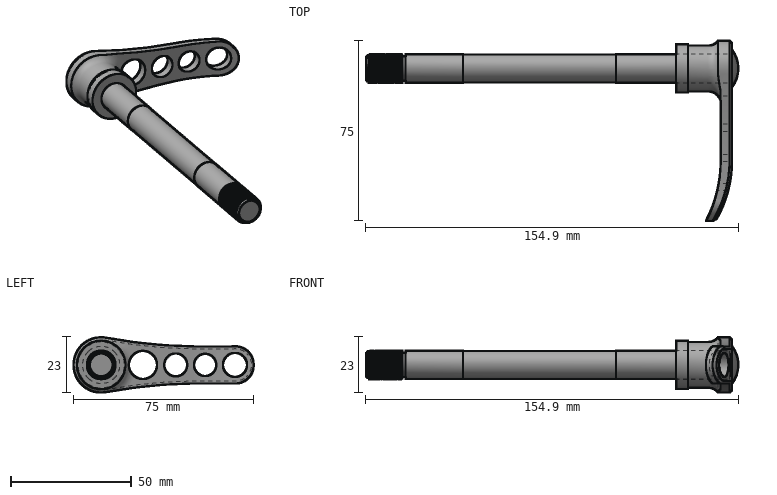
import cadquery as cq
import math


total_length = 154.9
thread_end_x = 15.3
shank_start_x = 16.5
waist_start_x = 40.4
waist_end_x = 103.9
collar_start_x = 129.0
hub_start_x = 134.0
flare_start_x = 142.5
arm_outer_x = 152.2
flare_radius = 5.0
arm_inner_x = flare_start_x + flare_radius

shank_radius = 12.0 / 2
waist_radius = 11.8 / 2
neck_radius = 10.2 / 2
dome_radius = 15.5 / 2
tip_chamfer = 1.2
thread_pitch = 1.0
thread_depth = 0.6
crest_width = thread_pitch / 8
root_width = thread_pitch / 4

collar_radius = 20.1 / 2
hub_radius = 19.2 / 2

lever_length = 75.0
eye_radius = 23.0 / 2
arm_half_width = 15.5 / 2
flank_end_y = -40.5
tip_y = eye_radius - lever_length
tip_centre_y = -55.6
tip_radius = tip_centre_y - tip_y
bend_start_y = -38.4
outer_bend_radius = 48.0
inner_bend_radius = 54.2
edge_chamfer = 1.1
hole_positions_and_diameters = [(-17.3, 11.6), (-31.0, 9.5), (-43.2, 9.1), (tip_centre_y, 9.9)]

trim_margin = 1.5


def revolve_about_x(profile):
    """Turn an (X, radius) profile drawn in the XZ plane about the X axis."""
    return profile.revolve(360, (0, 0, 0), (1, 0, 0))


def cylinder_along_x(start_x, end_x, radius, y=0):
    return cq.Workplane("YZ", origin=(start_x, y, 0)).circle(radius).extrude(end_x - start_x)


def make_thread_groove():
    """Helical V groove that starts beyond the tip and runs out into the neck."""
    start_x = -thread_pitch
    end_x = (thread_end_x + shank_start_x - root_width) / 2
    clearance = 0.2
    root_radius = shank_radius - thread_depth
    open_half = (thread_pitch - crest_width) / 2
    flank_slope = (open_half - root_width / 2) / thread_depth
    outer_half = open_half + flank_slope * clearance
    helix = cq.Wire.makeHelix(thread_pitch, end_x - start_x, shank_radius)
    groove = (
        cq.Workplane("XZ")
        .moveTo(root_radius, -root_width / 2)
        .lineTo(shank_radius + clearance, -outer_half)
        .lineTo(shank_radius + clearance, outer_half)
        .lineTo(root_radius, root_width / 2)
        .close()
        .sweep(cq.Workplane(obj=helix), isFrenet=True)
    )
    return groove.rotate((0, 0, 0), (0, 1, 0), 90).translate((start_x, 0, 0))


def make_threaded_tip():
    """Thread with a chamfered end and a relief neck, cut in a blank that is then trimmed."""
    blank = cylinder_along_x(-trim_margin, shank_start_x + trim_margin, shank_radius)
    envelope = revolve_about_x(
        cq.Workplane("XZ")
        .lineTo(0, shank_radius - tip_chamfer)
        .lineTo(tip_chamfer + trim_margin, shank_radius + trim_margin)
        .lineTo(thread_end_x, shank_radius + trim_margin)
        .lineTo(thread_end_x, neck_radius)
        .lineTo(shank_start_x, neck_radius)
        .lineTo(shank_start_x, 0)
        .close()
    )
    return blank.cut(make_thread_groove()).intersect(envelope)


def make_axle():
    """Threaded tip, waisted shank and the domed head that holds the lever on."""
    dome_height = total_length - arm_outer_x
    sphere_radius = (dome_radius**2 + dome_height**2) / (2 * dome_height)
    sphere_x = total_length - sphere_radius
    half_angle = math.asin(dome_radius / sphere_radius) / 2
    dome_mid = (sphere_x + sphere_radius * math.cos(half_angle), sphere_radius * math.sin(half_angle))
    shank = revolve_about_x(
        cq.Workplane("XZ")
        .moveTo(shank_start_x, 0)
        .lineTo(shank_start_x, shank_radius)
        .lineTo(waist_start_x, shank_radius)
        .lineTo(waist_start_x, waist_radius)
        .lineTo(waist_end_x, waist_radius)
        .lineTo(waist_end_x, shank_radius)
        .lineTo(arm_outer_x, shank_radius)
        .lineTo(arm_outer_x, dome_radius)
        .threePointArc(dome_mid, (total_length, 0))
        .close()
    )
    return shank.union(make_threaded_tip())


def make_collar():
    """Plain ring between the shank and the hub of the lever."""
    bore = cylinder_along_x(collar_start_x, hub_start_x, shank_radius)
    return cylinder_along_x(collar_start_x, hub_start_x, collar_radius).cut(bore)


def make_arm_outline():
    """Outline in the YZ plane: round eye, concave flanks, straight sides, round tip."""
    drop = eye_radius - arm_half_width
    flank_radius = (flank_end_y**2 / drop - eye_radius - arm_half_width) / 2
    flank_centre_z = arm_half_width + flank_radius
    centre_distance = eye_radius + flank_radius
    eye_end_y = flank_end_y * eye_radius / centre_distance
    eye_end_z = flank_centre_z * eye_radius / centre_distance
    flank_mid_y = (eye_end_y + flank_end_y) / 2
    flank_mid_z = flank_centre_z - math.sqrt(flank_radius**2 - (flank_mid_y - flank_end_y) ** 2)
    tip_start_y = tip_centre_y + math.sqrt(tip_radius**2 - arm_half_width**2)
    return (
        cq.Workplane("YZ", origin=(hub_start_x, 0, 0))
        .moveTo(eye_end_y, eye_end_z)
        .threePointArc((flank_mid_y, flank_mid_z), (flank_end_y, arm_half_width))
        .lineTo(tip_start_y, arm_half_width)
        .threePointArc((tip_y, 0), (tip_start_y, -arm_half_width))
        .lineTo(flank_end_y, -arm_half_width)
        .threePointArc((flank_mid_y, -flank_mid_z), (eye_end_y, -eye_end_z))
        .threePointArc((eye_radius, 0), (eye_end_y, eye_end_z))
        .close()
    )


def bend_x(face_x, bend_radius, y):
    """X of a bent arm face at the given Y, the bend being tangent to the flat face."""
    return face_x - bend_radius + math.sqrt(bend_radius**2 - (y - bend_start_y) ** 2)


def make_arm_slab():
    """Side profile of the arm, flat and then curling toward -X, wider than the arm in Z."""
    end_y = tip_y - trim_margin
    top_y = eye_radius + trim_margin
    mid_y = (bend_start_y + end_y) / 2
    return (
        cq.Workplane("XY")
        .moveTo(arm_inner_x, top_y)
        .lineTo(arm_outer_x, top_y)
        .lineTo(arm_outer_x, bend_start_y)
        .threePointArc(
            (bend_x(arm_outer_x, outer_bend_radius, mid_y), mid_y),
            (bend_x(arm_outer_x, outer_bend_radius, end_y), end_y),
        )
        .lineTo(bend_x(arm_inner_x, inner_bend_radius, end_y), end_y)
        .threePointArc(
            (bend_x(arm_inner_x, inner_bend_radius, mid_y), mid_y),
            (arm_inner_x, bend_start_y),
        )
        .close()
        .extrude(2 * eye_radius, both=True)
    )


def make_hub():
    """Hub with a quarter-round flare that ends flush with the arm's inner face."""
    flare_end = hub_radius + flare_radius
    arc_offset = flare_radius * math.sqrt(0.5)
    profile = (
        cq.Workplane("XZ")
        .moveTo(hub_start_x, 0)
        .lineTo(hub_start_x, hub_radius)
        .lineTo(flare_start_x, hub_radius)
        .threePointArc((flare_start_x + arc_offset, flare_end - arc_offset), (arm_inner_x, flare_end))
        .lineTo(arm_inner_x, 0)
        .close()
    )
    return revolve_about_x(profile)


def make_lever():
    """Flared hub and bent arm, chamfered all round its outer face, with four holes."""
    arm = make_arm_outline().extrude(total_length - hub_start_x).intersect(make_arm_slab())
    tip_corner = (bend_x(arm_outer_x, outer_bend_radius, tip_y), tip_y, 0)
    tip_edge = arm.edges(cq.NearestToPointSelector(tip_corner))
    arm = arm.faces(">X").edges("not |Z").add(tip_edge).chamfer(edge_chamfer)
    hub = make_hub().intersect(make_arm_outline().extrude(arm_inner_x - hub_start_x))
    lever = hub.union(arm).cut(cylinder_along_x(hub_start_x, arm_outer_x, shank_radius))
    for hole_y, hole_diameter in hole_positions_and_diameters:
        lever = lever.cut(cylinder_along_x(hub_start_x, arm_outer_x, hole_diameter / 2, hole_y))
    return lever


axle = make_axle()
collar = make_collar()
lever = make_lever()

result = cq.Compound.makeCompound([axle.val(), collar.val(), lever.val()])